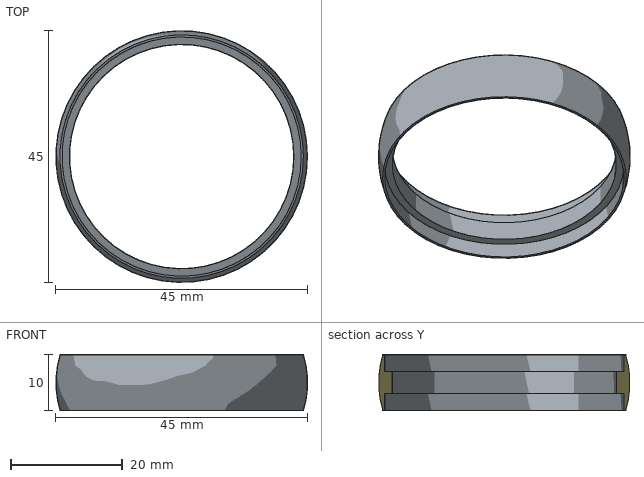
import cadquery as cq

outer_diameter = 45.0
height = 10.0
rim_diameter = 43.45
bore_diameter = 40.0
recess_diameter = 42.7
recess_depth = 3.0

half_height = height / 2
outer_radius = outer_diameter / 2
rim_radius = rim_diameter / 2
bore_radius = bore_diameter / 2
recess_radius = recess_diameter / 2
ledge_height = half_height - recess_depth

section = (
    cq.Workplane("XZ")
    .moveTo(rim_radius, -half_height)
    .threePointArc((outer_radius, 0), (rim_radius, half_height))
    .lineTo(recess_radius, half_height)
    .lineTo(recess_radius, ledge_height)
    .lineTo(bore_radius, ledge_height)
    .lineTo(bore_radius, -ledge_height)
    .lineTo(recess_radius, -ledge_height)
    .lineTo(recess_radius, -half_height)
    .close()
)

result = section.revolve(360, (0, 0, 0), (0, 1, 0))